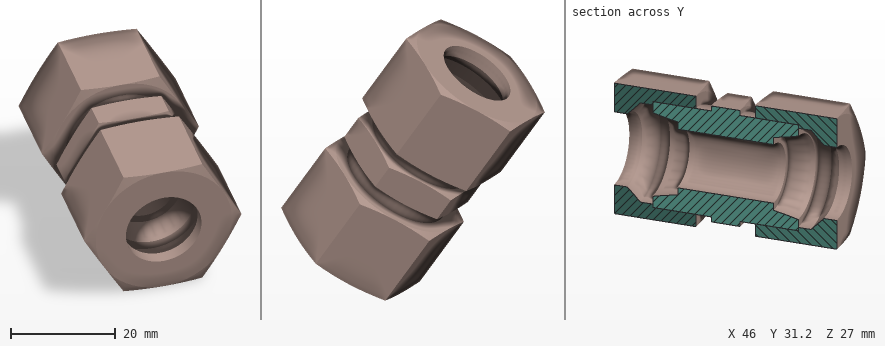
import cadquery as cq
import math

OVERALL_LENGTH = 46.0
NUT_LENGTH = 16.95
BODY_HEX_LENGTH = 6.0

NUT_ACROSS_FLATS = 27.0
BODY_HEX_ACROSS_FLATS = 24.0
CORNER_CHAMFER_ANGLE = 15.0

SHANK_DIAMETER = 22.0
NUT_BORE_DIAMETER = 20.4
TUBE_DIAMETER = 15.0
THROUGH_BORE_DIAMETER = 12.0
MOUTH_DIAMETER = 17.15

TUBE_HOLE_DEPTH = 2.65
SHANK_END_DEPTH = 7.95

NUT_CONE_HALF_ANGLE = 45.0
SOCKET_CONE_HALF_ANGLE = 12.0

HALF_LENGTH = OVERALL_LENGTH / 2
SHANK_END = HALF_LENGTH - SHANK_END_DEPTH


def cone_length(large_diameter, small_diameter, half_angle):
    """Axial length of a cone between two diameters."""
    return (large_diameter - small_diameter) / 2 / math.tan(math.radians(half_angle))


def cylinder(diameter, x_start, x_end):
    """Cylinder on the X axis between two stations."""
    return cq.Workplane("YZ", origin=(x_start, 0, 0)).circle(diameter / 2).extrude(x_end - x_start)


def revolve_about_x(profile):
    """Solid of revolution from a closed list of (x, radius) points."""
    return cq.Workplane("XY").polyline(profile).close().revolve(360, (0, 0, 0), (1, 0, 0))


def chamfered_hexagon(across_flats, x_start, x_end):
    """Hexagonal prism with corners towards +Y and -Y, turned down to a cone at both ends."""
    across_corners = across_flats / math.cos(math.radians(30))
    flat_radius = across_flats / 2
    corner_radius = across_corners / 2
    chamfer_length = (corner_radius - flat_radius) * math.tan(math.radians(CORNER_CHAMFER_ANGLE))

    prism = cq.Workplane("YZ", origin=(x_start, 0, 0)).polygon(6, across_corners).extrude(x_end - x_start)
    envelope = revolve_about_x([
        (x_start, 0),
        (x_start, flat_radius),
        (x_start + chamfer_length, corner_radius),
        (x_end - chamfer_length, corner_radius),
        (x_end, flat_radius),
        (x_end, 0),
    ])
    return prism.intersect(envelope)


def make_union_nut():
    """Nut at the -X end: tube hole, widening cone, plain bore, then a counterbore for the shank."""
    outer_end = -HALF_LENGTH
    inner_end = outer_end + NUT_LENGTH
    cone_start = outer_end + TUBE_HOLE_DEPTH
    cone_end = cone_start + cone_length(NUT_BORE_DIAMETER, TUBE_DIAMETER, NUT_CONE_HALF_ANGLE)

    cavity = revolve_about_x([
        (outer_end, 0),
        (outer_end, TUBE_DIAMETER / 2),
        (cone_start, TUBE_DIAMETER / 2),
        (cone_end, NUT_BORE_DIAMETER / 2),
        (-SHANK_END, NUT_BORE_DIAMETER / 2),
        (-SHANK_END, SHANK_DIAMETER / 2),
        (inner_end, SHANK_DIAMETER / 2),
        (inner_end, 0),
    ])
    return chamfered_hexagon(NUT_ACROSS_FLATS, outer_end, inner_end).cut(cavity)


def make_tube_socket():
    """Cutter for the conical socket at the -X end of the shank; its flat floor stops the tube."""
    floor = -SHANK_END + cone_length(MOUTH_DIAMETER, TUBE_DIAMETER, SOCKET_CONE_HALF_ANGLE)
    return revolve_about_x([
        (-SHANK_END, 0),
        (-SHANK_END, MOUTH_DIAMETER / 2),
        (floor, TUBE_DIAMETER / 2),
        (floor, 0),
    ])


def make_coupling_body():
    """Straight shank with a central hexagon, a through bore and a tube socket at each end."""
    half_hex = BODY_HEX_LENGTH / 2
    body = cylinder(SHANK_DIAMETER, -SHANK_END, SHANK_END)
    body = body.union(chamfered_hexagon(BODY_HEX_ACROSS_FLATS, -half_hex, half_hex))
    body = body.cut(cylinder(THROUGH_BORE_DIAMETER, -SHANK_END, SHANK_END))
    socket = make_tube_socket()
    return body.cut(socket).cut(socket.mirror("YZ"))


coupling_body = make_coupling_body()

union_nuts = []
for turn in (0, 180):
    union_nuts.append(make_union_nut().rotate((0, 0, 0), (0, 0, 1), turn))

result = cq.Compound.makeCompound([coupling_body.val(), *[nut.val() for nut in union_nuts]])